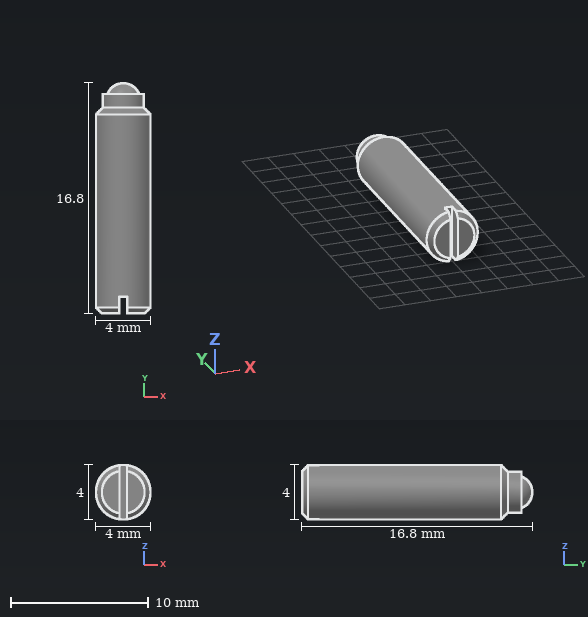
import cadquery as cq
import math

total_length = 16.8
body_diameter = 4.0

nose_diameter = 3.0
nose_length = 1.0
ball_diameter = 2.49
ball_projection = 0.79

slot_end_chamfer = 0.44
nose_end_chamfer = (body_diameter - nose_diameter) / 2

slot_width = 0.57
slot_depth = 1.21

body_radius = body_diameter / 2
nose_radius = nose_diameter / 2
ball_radius = ball_diameter / 2
nose_end = total_length - ball_projection
body_end = nose_end - nose_length
ball_center = total_length - ball_radius


def make_pin():
    """Revolve the chamfered body, nose and ball cap around the Y axis."""
    ball_rim_radius = math.sqrt(ball_radius**2 - (nose_end - ball_center) ** 2)
    arc_middle_offset = math.asin(ball_rim_radius / ball_radius) / 2
    arc_middle = (
        ball_radius * math.sin(arc_middle_offset),
        ball_center + ball_radius * math.cos(arc_middle_offset),
    )
    profile = (
        cq.Workplane("XY")
        .moveTo(0, 0)
        .lineTo(body_radius - slot_end_chamfer, 0)
        .lineTo(body_radius, slot_end_chamfer)
        .lineTo(body_radius, body_end - nose_end_chamfer)
        .lineTo(nose_radius, body_end)
        .lineTo(nose_radius, nose_end)
        .lineTo(ball_rim_radius, nose_end)
        .threePointArc(arc_middle, (0, total_length))
        .close()
    )
    return profile.revolve(360, (0, 0, 0), (0, 1, 0))


def make_slot():
    """Straight slot through the full height of the end at Y = 0."""
    return cq.Workplane("XY").box(
        slot_width, slot_depth, body_diameter, centered=(True, False, True)
    )


result = make_pin().cut(make_slot())